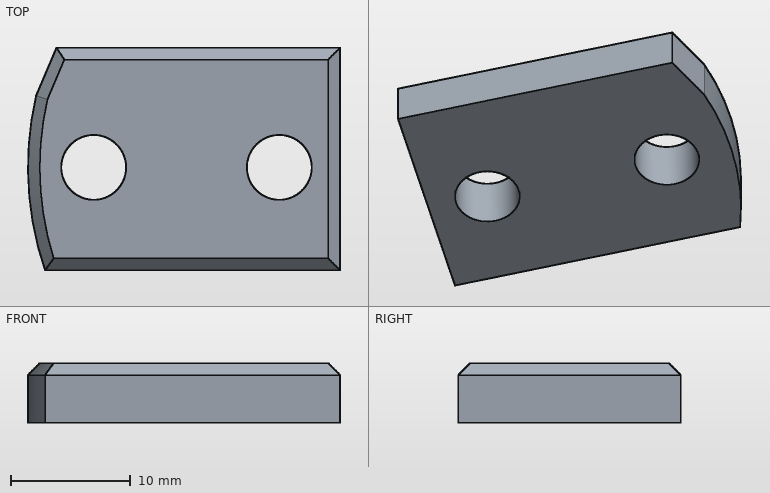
import cadquery as cq
import math

thickness = 5.0
chamfer = 1.0
hole_diameter = 5.4
hole_spacing = 15.5
front_y = -8.6
back_y = 10.0
right_x = 12.83

nose_x = -13.25
nose_radius = 26.5
flat_start_y = 6.0
flat_run = 1.7


def nose_point(y):
    """Point on the bowed end at the given Y."""
    centre_x = nose_x + nose_radius
    return (centre_x - math.sqrt(nose_radius**2 - y**2), y)


def make_plate():
    """Plate with a bowed left end and all top edges chamfered."""
    flat_start = nose_point(flat_start_y)
    flat_end = (flat_start[0] + flat_run, back_y)
    return (
        cq.Workplane("XY")
        .moveTo(*nose_point(front_y))
        .lineTo(right_x, front_y)
        .lineTo(right_x, back_y)
        .lineTo(*flat_end)
        .lineTo(*flat_start)
        .threePointArc((nose_x, 0), nose_point(front_y))
        .close()
        .extrude(thickness)
        .faces(">Z")
        .chamfer(chamfer)
    )


def make_holes():
    """Cutters for the two through holes."""
    return (
        cq.Workplane("XY")
        .pushPoints([(-hole_spacing / 2, 0), (hole_spacing / 2, 0)])
        .circle(hole_diameter / 2)
        .extrude(thickness)
    )


result = make_plate().cut(make_holes())